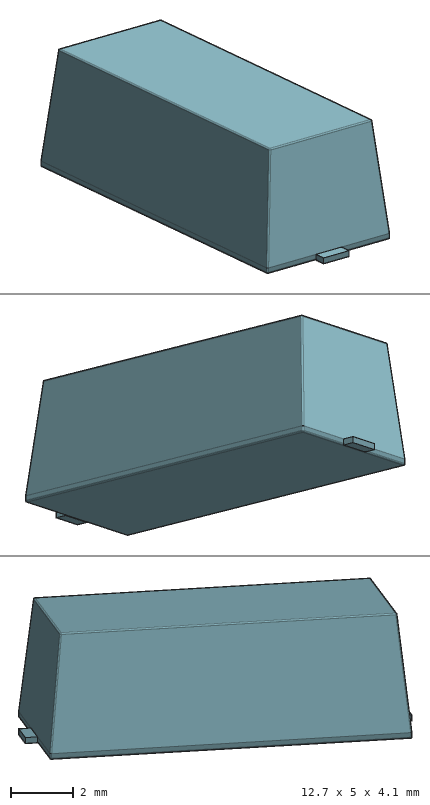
import cadquery as cq
import math

overall_length = 12.7
overall_width = 5.0
overall_height = 4.1

housing_length = 11.9
housing_width = overall_width
base_band_height = 0.2
draft_angle = 6.0
edge_radius = 0.05

terminal_width = 1.04
terminal_thickness = base_band_height
terminal_length = (overall_length - housing_length) / 2


def make_housing():
    """Drafted block standing on a straight base band, with all outer edges rounded."""
    taper_height = overall_height - base_band_height
    top_inset = taper_height * math.tan(math.radians(draft_angle))
    base_band = cq.Workplane("XY").box(
        housing_length, housing_width, base_band_height, centered=(True, True, False)
    )
    upper_part = (
        cq.Workplane("XY", origin=(0, 0, base_band_height))
        .rect(housing_length, housing_width)
        .workplane(offset=taper_height)
        .rect(housing_length - 2 * top_inset, housing_width - 2 * top_inset)
        .loft(ruled=True)
    )
    block = base_band.union(upper_part)
    corner_edges = block.edges("not #Z")
    top_edges = block.faces(">Z").edges()
    bottom_edges = block.faces("<Z").edges()
    return corner_edges.add(top_edges).add(bottom_edges).fillet(edge_radius)


def make_terminal(end_sign):
    """Flat tab touching the housing end wall on the side given by end_sign."""
    center_x = end_sign * (housing_length + terminal_length) / 2
    return cq.Workplane("XY", origin=(center_x, 0, 0)).box(
        terminal_length, terminal_width, terminal_thickness, centered=(True, True, False)
    )


housing = make_housing()
terminals = [make_terminal(end_sign) for end_sign in (-1, 1)]

result = cq.Compound.makeCompound([housing.val(), *[terminal.val() for terminal in terminals]])